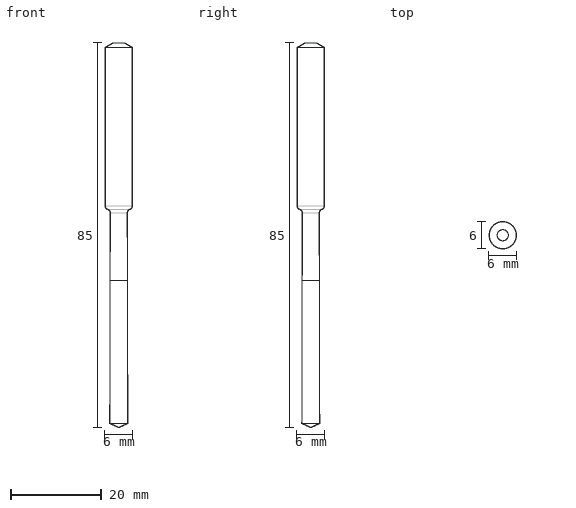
import cadquery as cq

TOTAL_LENGTH = 85.0

SHANK_DIAMETER = 6.0
SHANK_BOTTOM_Z = 49.0
TOP_FLAT_DIAMETER = 2.5
TOP_CONE_HEIGHT = 1.0

NECK_TOP_DIAMETER = 3.8
NECK_TOP_Z = 47.4

JOINT_DIAMETER = 3.9
DRILL_DIAMETER = 4.0
DRILL_TOP_Z = 32.55
POINT_HEIGHT = 0.9

SHANK_RADIUS = SHANK_DIAMETER / 2
NECK_TOP_RADIUS = NECK_TOP_DIAMETER / 2
JOINT_RADIUS = JOINT_DIAMETER / 2
DRILL_RADIUS = DRILL_DIAMETER / 2

SHOULDER_MID_RADIUS = (SHANK_RADIUS + NECK_TOP_RADIUS) / 2
SHOULDER_MID_Z = (SHANK_BOTTOM_Z + NECK_TOP_Z) / 2


def make_shank():
    """Shank with a coned top end, rounded shoulder and neck, as one revolved solid."""
    return (
        cq.Workplane("XZ")
        .moveTo(0, DRILL_TOP_Z)
        .lineTo(JOINT_RADIUS, DRILL_TOP_Z)
        .lineTo(NECK_TOP_RADIUS, NECK_TOP_Z)
        .tangentArcPoint((SHOULDER_MID_RADIUS, SHOULDER_MID_Z), relative=False)
        .tangentArcPoint((SHANK_RADIUS, SHANK_BOTTOM_Z), relative=False)
        .lineTo(SHANK_RADIUS, TOTAL_LENGTH - TOP_CONE_HEIGHT)
        .lineTo(TOP_FLAT_DIAMETER / 2, TOTAL_LENGTH)
        .lineTo(0, TOTAL_LENGTH)
        .close()
        .revolve(360, (0, 0), (0, 1))
    )


def make_cutter():
    """Tapered cutting section with a conical point, butted against the end of the neck."""
    return (
        cq.Workplane("XZ")
        .lineTo(DRILL_RADIUS, POINT_HEIGHT)
        .lineTo(JOINT_RADIUS, DRILL_TOP_Z)
        .lineTo(0, DRILL_TOP_Z)
        .close()
        .revolve(360, (0, 0), (0, 1))
    )


shank = make_shank()
cutter = make_cutter()

result = cq.Compound.makeCompound([shank.val(), cutter.val()])